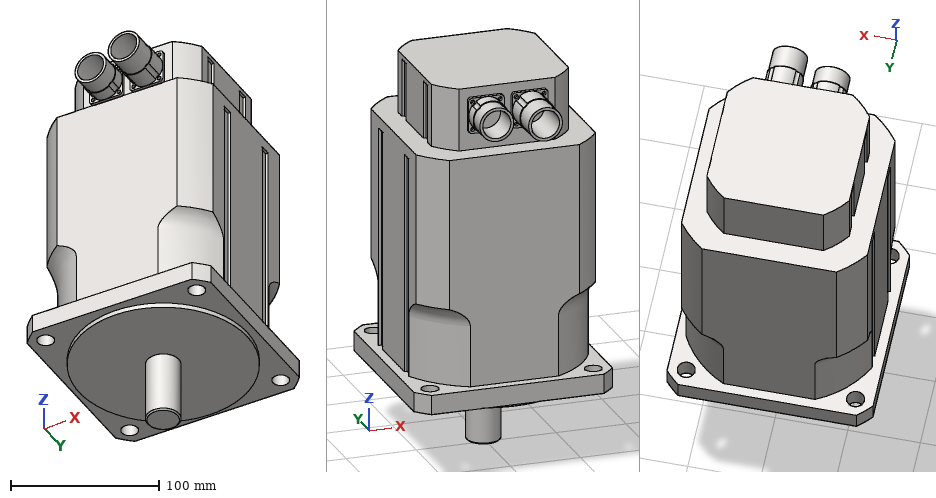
import cadquery as cq
import math

shaft_diameter = 24.0
shaft_length = 50.1
shaft_chamfer = 1.0

pilot_diameter = 130.0
pilot_height = 3.5

flange_width = 142.0
flange_flat = 123.0
flange_thickness = 14.0
bolt_circle_diameter = 165.0
bolt_hole_diameter = 12.0
bolt_count = 4
bolt_start_angle = 45

body_width = 128.2
body_flat = 93.0
body_top = 179.2
relief_flat = 63.0
relief_straight_top = 57.5
relief_cutter_radius = 16.5

cap_width = 98.0
cap_flat = 68.5
cap_height = 44.7

groove_width = 8.2
groove_depth = 2.0
body_groove_centers = (-26.3, 26.3)
body_groove_top_gap = 8.5
cap_groove_centers = (-22.0, 22.0)
cap_groove_top_gap = 3.5

connector_offset = 15.5
connector_drop = 19.5
plate_width = 25.5
plate_thickness = 2.5
plate_corner = 2.5
screw_offset = 10.0
screw_hole_diameter = 2.7
screw_relief_diameter = 5.0
collar_diameter = 25.2
sleeve_diameter = 24.0
sleeve_bore = 20.0
short_collar_end = 11.5
short_sleeve_end = 23.8
long_collar_end = 17.5
long_sleeve_end = 34.0

cap_top = body_top + cap_height
cap_front = -cap_width / 2
connector_z = cap_top - connector_drop
relief_radius = math.hypot(body_width / 2, relief_flat / 2)


def rounded_block(width, flat, bottom, top):
    """Square block whose corners are turned to a cylinder about Z, leaving flats of the given length."""
    height = top - bottom
    corner_radius = math.hypot(width / 2, flat / 2)
    block = cq.Workplane().box(width, width, height, centered=(True, True, False))
    cylinder = cq.Workplane().circle(corner_radius).extrude(height)
    return block.intersect(cylinder).translate((0, 0, bottom))


def corner_relief():
    """Ring that trims the lower body corners, its upper end run out by a round cutter."""
    outer_radius = body_width
    cutter_top = relief_straight_top + relief_cutter_radius
    return (
        cq.Workplane("XZ")
        .moveTo(relief_radius, flange_thickness)
        .lineTo(relief_radius, relief_straight_top)
        .radiusArc((relief_radius + relief_cutter_radius, cutter_top), relief_cutter_radius)
        .lineTo(outer_radius, cutter_top)
        .lineTo(outer_radius, flange_thickness)
        .close()
        .revolve(360, (0, 0, 0), (0, 1, 0))
    )


def side_grooves(width, centers, bottom, top):
    """Cutters for shallow vertical grooves, each straddling the -X or +X face of a block."""
    return (
        cq.Workplane()
        .pushPoints([(side * width / 2, y) for side in (-1, 1) for y in centers])
        .rect(2 * groove_depth, groove_width)
        .extrude(top - bottom)
        .translate((0, 0, bottom))
    )


def make_motor():
    """Shaft, pilot, flange, body and rear cap as one solid."""
    shaft = (
        cq.Workplane()
        .circle(shaft_diameter / 2)
        .extrude(-shaft_length)
        .faces("<Z")
        .chamfer(shaft_chamfer)
    )
    pilot = cq.Workplane().circle(pilot_diameter / 2).extrude(-pilot_height)
    flange = (
        rounded_block(flange_width, flange_flat, 0, flange_thickness)
        .faces(">Z")
        .workplane()
        .polarArray(bolt_circle_diameter / 2, bolt_start_angle, 360, bolt_count)
        .hole(bolt_hole_diameter)
    )
    body = rounded_block(body_width, body_flat, flange_thickness, body_top).cut(corner_relief())
    body = body.cut(
        side_grooves(body_width, body_groove_centers, flange_thickness, body_top - body_groove_top_gap)
    )
    cap = rounded_block(cap_width, cap_flat, body_top, cap_top)
    cap = cap.cut(side_grooves(cap_width, cap_groove_centers, body_top, cap_top - cap_groove_top_gap))
    return flange.union(pilot).union(shaft).union(body).union(cap)


def make_connector(x, collar_end, sleeve_end):
    """Flanged socket pointing to -Y; the end values are distances from the front face of the cap."""
    base = cq.Workplane("XZ")
    screws = base.rect(2 * screw_offset, 2 * screw_offset, forConstruction=True).vertices()
    plate = (
        base.rect(plate_width, plate_width)
        .extrude(plate_thickness)
        .edges("|Y")
        .fillet(plate_corner)
    )
    screw_holes = screws.circle(screw_hole_diameter / 2).extrude(plate_thickness)
    collar = base.circle(collar_diameter / 2).extrude(collar_end)
    screw_reliefs = screws.circle(screw_relief_diameter / 2).extrude(collar_end)
    sleeve = base.circle(sleeve_diameter / 2).extrude(sleeve_end)
    bore = base.workplane(offset=plate_thickness).circle(sleeve_bore / 2).extrude(sleeve_end)
    barrel = collar.union(sleeve).cut(screw_reliefs)
    connector = barrel.union(plate.cut(screw_holes)).cut(bore)
    return connector.translate((x, cap_front, connector_z))


motor = make_motor()
short_connector = make_connector(-connector_offset, short_collar_end, short_sleeve_end)
long_connector = make_connector(connector_offset, long_collar_end, long_sleeve_end)

result = cq.Compound.makeCompound([motor.val(), short_connector.val(), long_connector.val()])